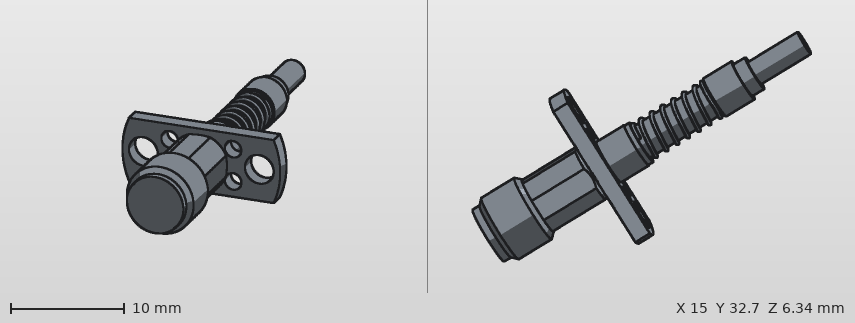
import cadquery as cq


NOSE_END = 0.72
EDGE_CONE = 0.5
COLLAR_FRONT = NOSE_END + EDGE_CONE
COLLAR_REAR = 4.6
BARREL_START = COLLAR_REAR + EDGE_CONE
FLANGE_FRONT = 10.95
FLANGE_THICKNESS = 1.5
FLANGE_REAR = FLANGE_FRONT + FLANGE_THICKNESS
SLEEVE_REAR = 15.35
SEAT_REAR = 15.83
CAP_FRONT = 23.3
CAP_REAR = 26.35
FERRULE_REAR = 27.55
TOTAL_LENGTH = 32.7

COLLAR_RADIUS = 3.17
NOSE_RADIUS = COLLAR_RADIUS - EDGE_CONE
BARREL_RADIUS = 2.7
BARREL_CHAMFER = 0.43
BARREL_ROOT_RADIUS = BARREL_RADIUS - BARREL_CHAMFER
SLEEVE_RADIUS = 2.1
SEAT_RADIUS = 2.03
SHAFT_RADIUS = 1.57
CAP_RADIUS = 1.95
CAP_CHAMFER = 0.13
FERRULE_RADIUS = 1.65
CABLE_RADIUS = 1.15

FLAT_DISTANCE = 2.52

FLANGE_RADIUS = 7.5
FLANGE_HEIGHT = 6.02
MOUNT_HOLE_X = 5.5
MOUNT_HOLE_DIAMETER = 2.7
SIDE_HOLE_X = 3.0
SIDE_HOLE_Z = 1.55
SIDE_HOLE_DIAMETER = 1.57

WIRE_RADIUS = 0.18
WIRE_SINK = 0.015
COIL_RADIUS = 1.7
SPRING_PITCH = 1.1
END_ARC_ANGLE = 160
FRONT_COIL_Y = SEAT_REAR + WIRE_RADIUS - WIRE_SINK
REAR_COIL_Y = CAP_FRONT - WIRE_RADIUS + WIRE_SINK


def turned_body():
    """Collar, barrel, sleeve, shaft, cap and cable as one revolved outline."""
    outline = [
        (0, 0),
        (NOSE_RADIUS, 0),
        (NOSE_RADIUS, NOSE_END),
        (COLLAR_RADIUS, COLLAR_FRONT),
        (COLLAR_RADIUS, COLLAR_REAR),
        (BARREL_RADIUS, BARREL_START),
        (BARREL_RADIUS, FLANGE_FRONT - BARREL_CHAMFER),
        (BARREL_ROOT_RADIUS, FLANGE_FRONT),
        (SLEEVE_RADIUS, FLANGE_FRONT),
        (SLEEVE_RADIUS, SLEEVE_REAR),
        (SEAT_RADIUS, SLEEVE_REAR),
        (SEAT_RADIUS, SEAT_REAR),
        (SHAFT_RADIUS, SEAT_REAR),
        (SHAFT_RADIUS, CAP_FRONT),
        (CAP_RADIUS - CAP_CHAMFER, CAP_FRONT),
        (CAP_RADIUS, CAP_FRONT + CAP_CHAMFER),
        (CAP_RADIUS, CAP_REAR),
        (FERRULE_RADIUS, CAP_REAR),
        (FERRULE_RADIUS, FERRULE_REAR),
        (CABLE_RADIUS, FERRULE_REAR),
        (CABLE_RADIUS, TOTAL_LENGTH),
        (0, TOTAL_LENGTH),
    ]
    return cq.Workplane("XY").polyline(outline).close().revolve(360, (0, 0, 0), (0, 1, 0))


def barrel_flat_cutter():
    """Material to remove outside the square formed by the four flats."""
    square_side = 2 * FLAT_DISTANCE
    length = FLANGE_FRONT - BARREL_START
    return (
        cq.Workplane("XZ", origin=(0, FLANGE_FRONT, 0))
        .rect(2 * COLLAR_RADIUS, 2 * COLLAR_RADIUS)
        .rect(square_side, square_side)
        .extrude(length)
    )


def flange():
    """Disc trimmed to a flat bar, with two mounting holes and four smaller holes."""
    face = cq.Workplane("XZ", origin=(0, FLANGE_REAR, 0))
    disc = face.circle(FLANGE_RADIUS).extrude(FLANGE_THICKNESS)
    bar = face.rect(2 * FLANGE_RADIUS, FLANGE_HEIGHT).extrude(FLANGE_THICKNESS)
    mount_holes = (
        face.pushPoints([(-MOUNT_HOLE_X, 0), (MOUNT_HOLE_X, 0)])
        .circle(MOUNT_HOLE_DIAMETER / 2)
        .extrude(FLANGE_THICKNESS)
    )
    side_holes = (
        face.rect(2 * SIDE_HOLE_X, 2 * SIDE_HOLE_Z, forConstruction=True)
        .vertices()
        .circle(SIDE_HOLE_DIAMETER / 2)
        .extrude(FLANGE_THICKNESS)
    )
    return disc.intersect(bar).cut(mount_holes).cut(side_holes)


def wire_section():
    """Round section of the spring wire, in the XZ plane beside the Z axis."""
    return cq.Workplane("XZ", origin=(COIL_RADIUS, 0, 0)).circle(WIRE_RADIUS)


def spring_pieces():
    """Left-handed coil, with flat end arcs that lie against the seat and the cap.

    Wound around Z starting at +X, then turned so that it runs along Y starting at +Z.
    """
    height = REAR_COIL_Y - FRONT_COIL_Y
    helix = cq.Wire.makeHelix(SPRING_PITCH, height, COIL_RADIUS, lefthand=True)
    coil = wire_section().sweep(cq.Workplane(helix), isFrenet=True)

    front_arc = wire_section().revolve(END_ARC_ANGLE, (-COIL_RADIUS, 0), (-COIL_RADIUS, 1))
    coil_angle = 360 * height / SPRING_PITCH
    rear_arc = front_arc.rotate((0, 0, 0), (0, 0, 1), -coil_angle - END_ARC_ANGLE)
    rear_arc = rear_arc.translate((0, 0, height))

    return [
        piece.rotate((0, 0, 0), (1, 1, 1), -120).translate((0, FRONT_COIL_Y, 0))
        for piece in (coil, front_arc, rear_arc)
    ]


body = turned_body().cut(barrel_flat_cutter())
body = body.union(flange())
for spring_piece in spring_pieces():
    body = body.union(spring_piece)
result = body